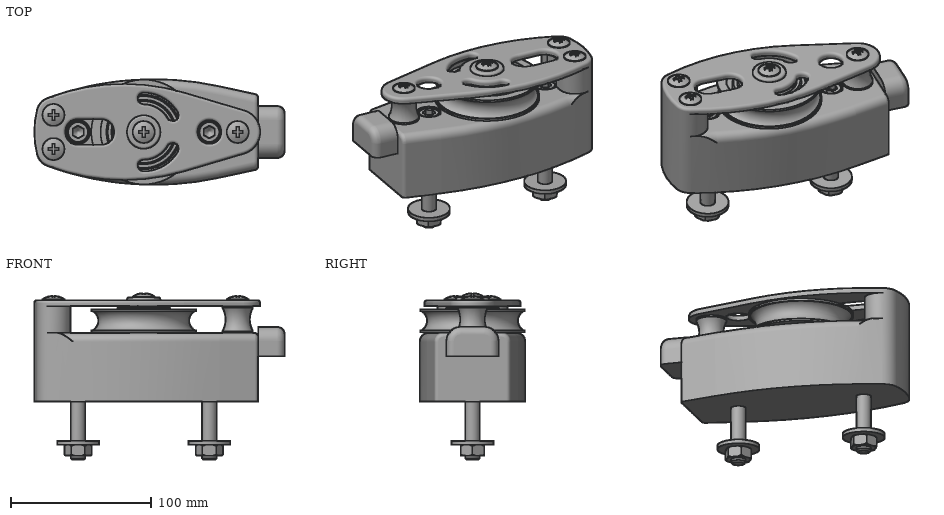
import cadquery as cq
import math


LEFT_X = -78.0
CORNER_X = -64.2
CORNER_Y = 12.8
CORNER_R = 12.1
HOUSING_END_X = 81.5
HOUSING_PEAK_X = 7.1
HOUSING_HALF_WIDTH = 37.6
TAPER_START_X = 54.0
HOUSING_TOP = 48.9
FLANK_FILLET = 6.0
END_FILLET = 2.9
RUNOUT_X = -50.6
RUNOUT_R = 16.0

PLATE_BOTTOM = 68.0
PLATE_TOP = 72.2
PLATE_PEAK_X = -14.3
PLATE_HALF_WIDTH = 34.2
PLATE_FILLET = 2.1
ROLLER_X = 66.9
PLATE_NOSE_R = 16.0
BOSS_R = 12.0
BOSS_HEIGHT = 2.0
BOSS_FILLET = 1.6

WINDOW_WIDTH = 18.2
WINDOW_LENGTH = 16.5
PORT_D = 17.0
KIDNEY_R = 23.9
KIDNEY_WIDTH = 8.2
KIDNEY_START = 30.0
KIDNEY_END = 90.0

SHEAVE_R = 37.3
SHEAVE_NECK_R = 32.5
SHEAVE_BOTTOM = 49.2
SHEAVE_TOP = 65.8
SHEAVE_RIM = 1.6
SHEAVE_LIP = 1.0
RECESS_R = 30.7
RECESS_DEPTH = 3.5
HUB_FOOT_R = 26.5
HUB_LOWER_R = 25.5
HUB_LOWER_DEPTH = 1.8
HUB_MIDDLE_R = 23.0
HUB_UPPER_R = 22.0
HUB_UPPER_DEPTH = 0.5
HUB_NECK_R = 19.6
HUB_TOP_R = 18.5
HUB_RISE = 0.9
SPACER_D = 20.0

ROLLER_R = 10.9
ROLLER_NECK_R = 8.7
ROLLER_RIM = 1.2

SCREW_Y = 12.1
SCREW_D = 15.7
SCREW_DOME_D = 14.0
SCREW_EDGE = 0.5
SCREW_BRIM = 1.0
SCREW_HEIGHT = 3.0
CROSS_LENGTH = 7.3
CROSS_WIDTH = 2.0
CROSS_DEPTH = 1.8

BOLT_X = 46.7
BOLT_D = 10.5
BOLT_END = -41.5
BOLT_CHAMFER = 1.2
HEAD_D = 16.0
HEAD_TOP_D = 14.0
HEAD_HEIGHT = 10.0
HEAD_SINK = 0.5
HEAD_TOP = HOUSING_TOP - HEAD_SINK
HEAD_SEAT = HEAD_TOP - HEAD_HEIGHT
COUNTERBORE_D = 17.0
SOCKET_FLATS = 7.8
SOCKET_DEPTH = 3.5
WASHER_D = 30.0
WASHER_TOP = -28.0
WASHER_THICKNESS = 2.9
NUT_FLATS = 17.0
NUT_HEIGHT = 7.7
NUT_CHAMFER = 0.9

BLOCK_END_X = 100.4
BLOCK_HALF_WIDTH = 18.5
BLOCK_BOTTOM = 32.1
BLOCK_TOP = 53.1
BLOCK_SIDE_FILLET = 10.0
BLOCK_END_FILLET = 5.4


def enclosing_radius(along, outward):
    """Radius of an arc peaking `along` and `outward` from a corner center and tangent to that corner."""
    return (along**2 + outward**2 - CORNER_R**2) / (2 * (outward - CORNER_R))


def polar(center, radius, angle):
    return (center[0] + radius * math.cos(angle), center[1] + radius * math.sin(angle))


def mirrored(point):
    return (point[0], -point[1])


def direction(start, end):
    return math.atan2(end[1] - start[1], end[0] - start[0])


CORNER = (CORNER_X, CORNER_Y)
LEFT_R = enclosing_radius(CORNER_Y, CORNER_X - LEFT_X)
LEFT_ANGLE = direction((LEFT_X + LEFT_R, 0), CORNER)
LEFT_POINT = polar(CORNER, CORNER_R, LEFT_ANGLE)


def flank_circle(peak_x, half_width):
    radius = enclosing_radius(peak_x - CORNER_X, half_width - CORNER_Y)
    return (peak_x, half_width - radius), radius


def flanked_outline(flank_center, flank_radius, flank_end_angle, nose_point, nose_tip):
    """Closed plan outline, symmetric about X; nose_tip gives a round nose, None a flat one."""
    corner_angle = direction(flank_center, CORNER)
    corner_mid = polar(CORNER, CORNER_R, (LEFT_ANGLE + corner_angle) / 2)
    flank_start = polar(CORNER, CORNER_R, corner_angle)
    flank_mid = polar(flank_center, flank_radius, (corner_angle + flank_end_angle) / 2)
    flank_end = polar(flank_center, flank_radius, flank_end_angle)
    outline = (
        cq.Workplane("XY")
        .moveTo(*mirrored(LEFT_POINT))
        .threePointArc((LEFT_X, 0), LEFT_POINT)
        .threePointArc(corner_mid, flank_start)
        .threePointArc(flank_mid, flank_end)
        .lineTo(*nose_point)
    )
    if nose_tip is None:
        outline = outline.lineTo(*mirrored(nose_point))
    else:
        outline = outline.threePointArc(nose_tip, mirrored(nose_point))
    return (
        outline.lineTo(*mirrored(flank_end))
        .threePointArc(mirrored(flank_mid), mirrored(flank_start))
        .threePointArc(mirrored(corner_mid), mirrored(LEFT_POINT))
        .close()
    )


def cylinder(diameter, bottom, top, x=0, y=0):
    return cq.Workplane("XY", origin=(x, y, bottom)).circle(diameter / 2).extrude(top - bottom)


def hexagon(flats, height):
    return cq.Workplane("XY").polygon(6, flats / math.cos(math.pi / 6)).extrude(height)


def make_housing():
    center, radius = flank_circle(HOUSING_PEAK_X, HOUSING_HALF_WIDTH)
    end_angle = math.acos((TAPER_START_X - center[0]) / radius)
    taper_start = polar(center, radius, end_angle)
    end_y = taper_start[1] - (HOUSING_END_X - TAPER_START_X) / math.tan(end_angle)
    block = flanked_outline(center, radius, end_angle, (HOUSING_END_X, end_y), None).extrude(HOUSING_TOP)

    seam_angle = math.acos((RUNOUT_X - center[0]) / radius)
    seam_outside = polar(center, radius + FLANK_FILLET, seam_angle)
    seam_inside = polar(center, -center[1] / math.sin(seam_angle), seam_angle)
    left_zone = (
        cq.Workplane("XY")
        .polyline([seam_inside, seam_outside, (LEFT_X, seam_outside[1])])
        .lineTo(LEFT_X, -seam_outside[1])
        .lineTo(*mirrored(seam_outside))
        .close()
        .extrude(HOUSING_TOP)
    )
    right = block.cut(left_zone)
    for side in (-1, 1):
        taper_mid = ((TAPER_START_X + HOUSING_END_X) / 2, side * (taper_start[1] + end_y) / 2, HOUSING_TOP)
        right = right.edges(cq.NearestToPointSelector(taper_mid)).fillet(FLANK_FILLET)
    right = right.faces(">X").edges("not <Z").fillet(END_FILLET)

    runout = make_runout(center, radius, seam_angle)
    left = block.intersect(left_zone).cut(runout).cut(runout.mirror("XZ"))
    return right.union(left)


def make_runout(flank_center, flank_radius, seam_angle):
    """Cutter that swings the flank fillet outward, from the seam until it leaves the flank."""
    pivot = polar(flank_center, flank_radius + RUNOUT_R - FLANK_FILLET, seam_angle)
    outward = (math.cos(seam_angle), math.sin(seam_angle), 0)
    forward = (outward[1], -outward[0], 0)
    flank = FLANK_FILLET - RUNOUT_R
    arc_mid = polar((-RUNOUT_R, -FLANK_FILLET), FLANK_FILLET, math.pi / 4)
    return (
        cq.Workplane(cq.Plane(origin=(*pivot, HOUSING_TOP), xDir=outward, normal=forward))
        .moveTo(-RUNOUT_R, 0)
        .threePointArc(arc_mid, (flank, -FLANK_FILLET))
        .lineTo(0, -FLANK_FILLET)
        .lineTo(0, 0)
        .close()
        .revolve(90, (0, 0), (0, -1))
    )


def make_column():
    """Two rounded posts joined by a web that follows the left end of the housing."""
    inner_end = (CORNER_X + CORNER_R, CORNER_Y)
    post_mid = polar(CORNER, CORNER_R, LEFT_ANGLE / 2)
    return (
        cq.Workplane("XY", origin=(0, 0, HOUSING_TOP))
        .moveTo(*mirrored(LEFT_POINT))
        .threePointArc((LEFT_X, 0), LEFT_POINT)
        .threePointArc(post_mid, inner_end)
        .lineTo(*mirrored(inner_end))
        .threePointArc(mirrored(post_mid), mirrored(LEFT_POINT))
        .close()
        .extrude(PLATE_BOTTOM - HOUSING_TOP)
    )


def make_plate():
    center, radius = flank_circle(PLATE_PEAK_X, PLATE_HALF_WIDTH)
    nose_center = (ROLLER_X, 0)
    tangent_angle = direction(center, nose_center) + math.acos(
        (radius - PLATE_NOSE_R) / math.dist(center, nose_center)
    )
    nose_point = polar(nose_center, PLATE_NOSE_R, tangent_angle)
    nose_tip = (ROLLER_X + PLATE_NOSE_R, 0)
    outline = flanked_outline(center, radius, tangent_angle, nose_point, nose_tip)
    plate = outline.extrude(PLATE_TOP - PLATE_BOTTOM)
    plate = plate.cut(plate_openings()).faces(">Z").edges().fillet(PLATE_FILLET)
    plate = plate.translate((0, 0, PLATE_BOTTOM))
    boss = cylinder(2 * BOSS_R, PLATE_TOP, PLATE_TOP + BOSS_HEIGHT).faces(">Z").edges().fillet(BOSS_FILLET)
    return plate.union(boss)


def plate_openings():
    depth = PLATE_TOP - PLATE_BOTTOM
    window = (
        cq.Workplane("XY", origin=(-BOLT_X + WINDOW_LENGTH / 2, 0, 0))
        .slot2D(WINDOW_LENGTH + WINDOW_WIDTH, WINDOW_WIDTH)
        .extrude(depth)
    )
    openings = window.union(cylinder(PORT_D, 0, depth, BOLT_X))
    start, end = math.radians(KIDNEY_START), math.radians(KIDNEY_END)
    outer_r = KIDNEY_R + KIDNEY_WIDTH / 2
    inner_r = KIDNEY_R - KIDNEY_WIDTH / 2
    middle = (start + end) / 2
    axis = (0, 0)
    start_cap = polar(polar(axis, KIDNEY_R, start), KIDNEY_WIDTH / 2, start - math.pi / 2)
    end_cap = polar(polar(axis, KIDNEY_R, end), KIDNEY_WIDTH / 2, end + math.pi / 2)
    kidney = (
        cq.Workplane("XY")
        .moveTo(*polar(axis, outer_r, start))
        .threePointArc(polar(axis, outer_r, middle), polar(axis, outer_r, end))
        .threePointArc(end_cap, polar(axis, inner_r, end))
        .threePointArc(polar(axis, inner_r, middle), polar(axis, inner_r, start))
        .threePointArc(start_cap, polar(axis, outer_r, start))
        .close()
        .extrude(depth)
    )
    return openings.union(kidney).union(kidney.mirror("XZ"))


def make_sheave():
    top, bottom = SHEAVE_TOP, SHEAVE_BOTTOM
    groove_r = SHEAVE_R - SHEAVE_LIP
    sheave = (
        cq.Workplane("XZ")
        .moveTo(0, bottom)
        .lineTo(SHEAVE_R, bottom)
        .lineTo(SHEAVE_R, bottom + SHEAVE_RIM)
        .lineTo(groove_r, bottom + SHEAVE_RIM)
        .threePointArc((SHEAVE_NECK_R, (bottom + top) / 2), (groove_r, top - SHEAVE_RIM))
        .lineTo(SHEAVE_R, top - SHEAVE_RIM)
        .lineTo(SHEAVE_R, top)
        .lineTo(RECESS_R, top)
        .lineTo(RECESS_R, top - RECESS_DEPTH)
        .lineTo(HUB_FOOT_R, top - RECESS_DEPTH)
        .lineTo(HUB_LOWER_R, top - HUB_LOWER_DEPTH)
        .lineTo(HUB_MIDDLE_R, top - HUB_LOWER_DEPTH)
        .lineTo(HUB_UPPER_R, top - HUB_UPPER_DEPTH)
        .lineTo(HUB_NECK_R, top - HUB_UPPER_DEPTH)
        .lineTo(HUB_TOP_R, top + HUB_RISE)
        .lineTo(0, top + HUB_RISE)
        .close()
        .revolve(360, (0, 0), (0, 1))
    )
    return sheave.union(cylinder(SPACER_D, HOUSING_TOP, PLATE_BOTTOM))


def make_roller():
    bottom, top = HOUSING_TOP, PLATE_BOTTOM
    roller = (
        cq.Workplane("XZ")
        .moveTo(0, bottom)
        .lineTo(ROLLER_R, bottom)
        .lineTo(ROLLER_R, bottom + ROLLER_RIM)
        .threePointArc((ROLLER_NECK_R, (bottom + top) / 2), (ROLLER_R, top - ROLLER_RIM))
        .lineTo(ROLLER_R, top)
        .lineTo(0, top)
        .close()
        .revolve(360, (0, 0), (0, 1))
    )
    return roller.translate((ROLLER_X, 0, 0))


def make_screw():
    """Domed head seated on Z = 0 with a cross recess."""
    dome_r = SCREW_DOME_D / 2
    dome_rise = SCREW_HEIGHT - SCREW_BRIM
    sphere_r = (dome_r**2 + dome_rise**2) / (2 * dome_rise)
    half_angle = math.asin(dome_r / sphere_r) / 2
    dome_mid = polar((0, SCREW_HEIGHT - sphere_r), sphere_r, math.pi / 2 - half_angle)
    head = (
        cq.Workplane("XZ")
        .lineTo(SCREW_D / 2, 0)
        .lineTo(SCREW_D / 2, SCREW_EDGE)
        .lineTo(dome_r, SCREW_BRIM)
        .threePointArc(dome_mid, (0, SCREW_HEIGHT))
        .close()
        .revolve(360, (0, 0), (0, 1))
    )
    for length, width in ((CROSS_LENGTH, CROSS_WIDTH), (CROSS_WIDTH, CROSS_LENGTH)):
        arm = cq.Workplane("XY").rect(length, width).extrude(CROSS_DEPTH)
        head = head.cut(arm.translate((0, 0, SCREW_HEIGHT - CROSS_DEPTH)))
    return head


def make_bolt(x):
    """Socket-head bolt with its washer and nut."""
    head = cylinder(HEAD_D, HEAD_SEAT, HEAD_TOP)
    head = head.faces(">Z").chamfer((HEAD_D - HEAD_TOP_D) / 2)
    socket_r = SOCKET_FLATS / math.cos(math.pi / 6) / 2
    drill = (
        cq.Workplane("XZ")
        .lineTo(socket_r, socket_r)
        .lineTo(socket_r, socket_r + SOCKET_DEPTH)
        .lineTo(0, socket_r + SOCKET_DEPTH)
        .close()
        .revolve(360, (0, 0), (0, 1))
    )
    socket = hexagon(SOCKET_FLATS, socket_r + SOCKET_DEPTH).rotate((0, 0, 0), (0, 0, 1), 90).intersect(drill)
    head = head.cut(socket.translate((0, 0, HEAD_TOP - socket_r - SOCKET_DEPTH)))

    shank = cylinder(BOLT_D, BOLT_END, HEAD_SEAT).faces("<Z").chamfer(BOLT_CHAMFER)
    washer_bottom = WASHER_TOP - WASHER_THICKNESS
    washer = cylinder(WASHER_D, washer_bottom, WASHER_TOP)
    corner_d = NUT_FLATS / math.cos(math.pi / 6)
    nut_envelope = cylinder(corner_d, 0, NUT_HEIGHT).faces("<Z or >Z").chamfer(NUT_CHAMFER)
    nut = hexagon(NUT_FLATS, NUT_HEIGHT).intersect(nut_envelope).translate((0, 0, washer_bottom - NUT_HEIGHT))
    return head.union(shank).union(washer).union(nut).translate((x, 0, 0))


def make_end_block():
    block = (
        cq.Workplane("XY", origin=(HOUSING_END_X, 0, BLOCK_BOTTOM))
        .rect(2 * (BLOCK_END_X - HOUSING_END_X), 2 * BLOCK_HALF_WIDTH)
        .extrude(BLOCK_TOP - BLOCK_BOTTOM)
    )
    block = block.copyWorkplane(cq.Workplane("YZ", origin=(HOUSING_END_X, 0, 0))).split(keepTop=True)
    block = block.faces(">Z").edges("|X").fillet(BLOCK_SIDE_FILLET)
    return block.faces(">X").edges("not <Z").fillet(BLOCK_END_FILLET)


result = make_housing().union(make_column())

for bolt_x in (-BOLT_X, BOLT_X):
    result = result.cut(cylinder(COUNTERBORE_D, HEAD_SEAT, PLATE_BOTTOM, bolt_x))

result = result.union(make_end_block()).union(make_sheave()).union(make_roller()).union(make_plate())

for bolt_x in (-BOLT_X, BOLT_X):
    result = result.union(make_bolt(bolt_x))

screw_seats = (
    (CORNER_X, SCREW_Y, PLATE_TOP),
    (CORNER_X, -SCREW_Y, PLATE_TOP),
    (ROLLER_X, 0, PLATE_TOP),
    (0, 0, PLATE_TOP + BOSS_HEIGHT),
)
for seat in screw_seats:
    result = result.union(make_screw().translate(seat))